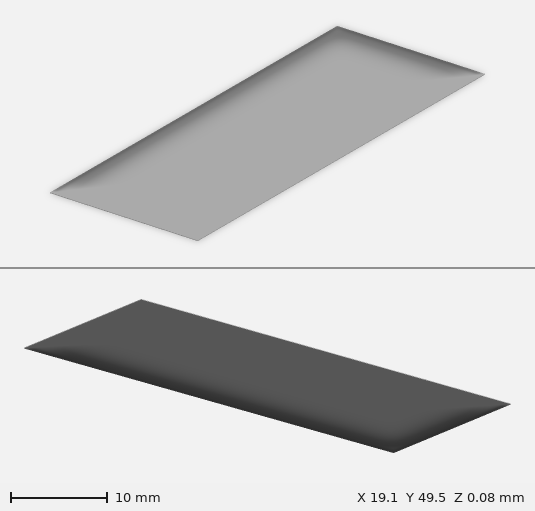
import cadquery as cq

width = 19.05
length = 49.55
thickness = 0.08

result = cq.Workplane("XY").box(width, length, thickness)